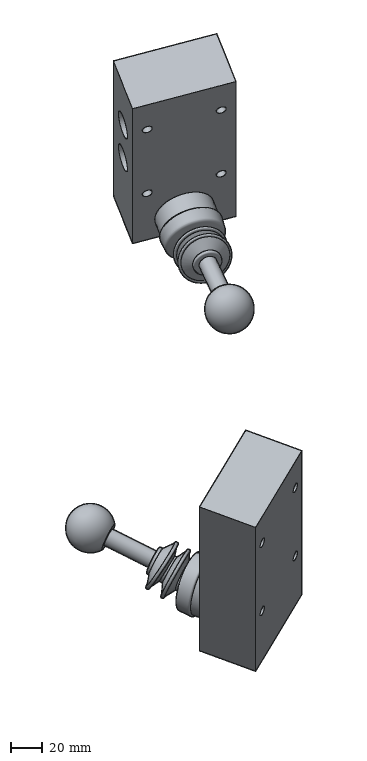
import cadquery as cq
import math

BODY_THICKNESS = 40.0
BODY_WIDTH = 70.0
BODY_HEIGHT = 148.0

MOUNT_DIAMETER = 6.6
MOUNT_SPACING_Y = 50.0
MOUNT_SPACING_Z = 70.0
MOUNT_CENTRE_Z = 86.0

PORT_DIAMETER = 18.6
PORT_DEPTH = 25.0
PORT_SPACING = 36.0
PORT_CENTRE_Z = 86.0

NECK_RADIUS = 20.0
NECK_LENGTH = 13.3
CAP_RADIUS = 21.31
CAP_LIP_LENGTH = 1.3
CAP_LIP_ROUND = 1.0
CAP_SHOULDER_RADIUS = 20.6
CAP_TAPER_LENGTH = 7.3
CAP_NOSE_RADIUS = 18.5
CAP_NOSE_LENGTH = 2.4
HANDLE_Z = NECK_RADIUS
CAP_START_X = BODY_THICKNESS + NECK_LENGTH
CAP_SHOULDER_X = CAP_START_X + CAP_LIP_LENGTH + CAP_TAPER_LENGTH
CAP_END_X = CAP_SHOULDER_X + CAP_NOSE_LENGTH

WAIST_RADIUS = 9.7
RIM_RADIUS = 18.0
RIM_THICKNESS = 2.4
RIM_ROUND = 0.9
FIRST_WAIST = [(66.6, 21.5, 7.0), (68.7, 21.6, 10.7)]
SECOND_WAIST = [(77.5, 23.6, 15.7), (79.5, 24.1, 19.8)]
COLLAR = [(87.3, 27.2, 13.4), (89.4, 27.5, 11.0)]
FIRST_FOLD = (73.4, 22.0, 16.2)
SECOND_FOLD = (83.0, 25.4, 22.5)
COLLAR_ROUND = 0.9

LEVER_ANGLE = 11.0
LEVER_RADIUS = 6.0
KNOB_RADIUS = 16.0
KNOB_FLAT_DISTANCE = 13.0
KNOB_X = 133.89
KNOB_Z = 36.8
LEVER_LENGTH = 58.0


def leaning_plane(x, z, lean):
    """Plane on Y = 0 whose normal is +X raised towards +Z by the lean angle."""
    angle = math.radians(lean)
    return cq.Plane(origin=(x, 0, z), xDir=(0, 1, 0), normal=(math.cos(angle), 0, math.sin(angle)))


def circle_wire(station, radius, shift=0.0):
    """Circular wire at a leaning station, moved along its own axis by shift."""
    plane = leaning_plane(*station)
    centre = plane.toWorldCoords((0, 0, shift))
    return cq.Wire.makeCircle(radius, centre, plane.zDir)


def make_body():
    """Rectangular block with through mounting holes and blind side ports."""
    body = cq.Workplane("XY").box(
        BODY_THICKNESS, BODY_WIDTH, BODY_HEIGHT, centered=(False, True, False)
    )
    mounting_holes = (
        cq.Workplane("YZ")
        .center(0, MOUNT_CENTRE_Z)
        .rect(MOUNT_SPACING_Y, MOUNT_SPACING_Z, forConstruction=True)
        .vertices()
        .circle(MOUNT_DIAMETER / 2)
        .extrude(BODY_THICKNESS)
    )
    ports = (
        cq.Workplane("XZ", origin=(BODY_THICKNESS / 2, -BODY_WIDTH / 2, PORT_CENTRE_Z))
        .pushPoints([(0, -PORT_SPACING / 2), (0, PORT_SPACING / 2)])
        .circle(PORT_DIAMETER / 2)
        .extrude(-PORT_DEPTH)
    )
    return body.cut(mounting_holes).cut(ports)


def make_neck_and_cap():
    """Revolve the neck and the tapered cap around the horizontal neck axis."""
    nose_width = CAP_SHOULDER_RADIUS - CAP_NOSE_RADIUS
    middle = math.sqrt(0.5)
    nose_middle = (
        CAP_SHOULDER_X + CAP_NOSE_LENGTH * middle,
        CAP_NOSE_RADIUS + nose_width * middle,
    )
    return (
        cq.Workplane("XY", origin=(0, 0, HANDLE_Z))
        .moveTo(BODY_THICKNESS, 0)
        .lineTo(BODY_THICKNESS, NECK_RADIUS)
        .lineTo(CAP_START_X, NECK_RADIUS)
        .lineTo(CAP_START_X, CAP_RADIUS - CAP_LIP_ROUND)
        .radiusArc((CAP_START_X + CAP_LIP_ROUND, CAP_RADIUS), CAP_LIP_ROUND)
        .lineTo(CAP_START_X + CAP_LIP_LENGTH, CAP_RADIUS)
        .lineTo(CAP_SHOULDER_X, CAP_SHOULDER_RADIUS)
        .threePointArc(nose_middle, (CAP_END_X, CAP_NOSE_RADIUS))
        .lineTo(CAP_END_X, 0)
        .close()
        .revolve(360, (0, 0, 0), (1, 0, 0))
    )


def cone_between(start, end):
    """Solid with straight sides from one circular wire to another."""
    return cq.Workplane(cq.Solid.makeLoft([start, end], True))


def make_fold(waist_before, rim, waist_after):
    """Rounded rim disc with a cone on each side running down to the waists."""
    half = RIM_THICKNESS / 2
    cone_radius = RIM_RADIUS - RIM_ROUND / 2
    cone_shift = half / 2
    disc = (
        cq.Workplane(leaning_plane(*rim))
        .circle(RIM_RADIUS)
        .extrude(half, both=True)
        .edges()
        .fillet(RIM_ROUND)
    )
    before = cone_between(circle_wire(waist_before, WAIST_RADIUS), circle_wire(rim, cone_radius, -cone_shift))
    after = cone_between(circle_wire(rim, cone_radius, cone_shift), circle_wire(waist_after, WAIST_RADIUS))
    return disc.union(before).union(after)


def make_bellows():
    """Chain the waists, folds and collar together, starting from the cap face."""
    cap_face = circle_wire((CAP_END_X, HANDLE_Z, 0), CAP_NOSE_RADIUS)
    bellows = cone_between(cap_face, circle_wire(FIRST_WAIST[0], WAIST_RADIUS))
    for start, end in (FIRST_WAIST, SECOND_WAIST):
        waist = cone_between(circle_wire(start, WAIST_RADIUS), circle_wire(end, WAIST_RADIUS))
        bellows = bellows.union(waist)
    collar = cone_between(circle_wire(COLLAR[0], WAIST_RADIUS), circle_wire(COLLAR[1], WAIST_RADIUS))
    collar = collar.faces(">X").edges().fillet(COLLAR_ROUND)
    first_fold = make_fold(FIRST_WAIST[1], FIRST_FOLD, SECOND_WAIST[0])
    second_fold = make_fold(SECOND_WAIST[1], SECOND_FOLD, COLLAR[0])
    return bellows.union(first_fold).union(second_fold).union(collar)


def make_lever():
    """Tilted rod running into a ball that is cut flat where the rod enters."""
    plane = leaning_plane(KNOB_X, KNOB_Z, LEVER_ANGLE)
    rod = cq.Workplane(plane).circle(LEVER_RADIUS).extrude(-LEVER_LENGTH)
    flat_cut = (
        cq.Workplane(plane)
        .workplane(offset=-KNOB_FLAT_DISTANCE)
        .circle(KNOB_RADIUS)
        .extrude(-KNOB_RADIUS)
    )
    knob = cq.Workplane(plane).sphere(KNOB_RADIUS).cut(flat_cut)
    return rod.union(knob)


result = make_body().union(make_neck_and_cap()).union(make_bellows()).union(make_lever())